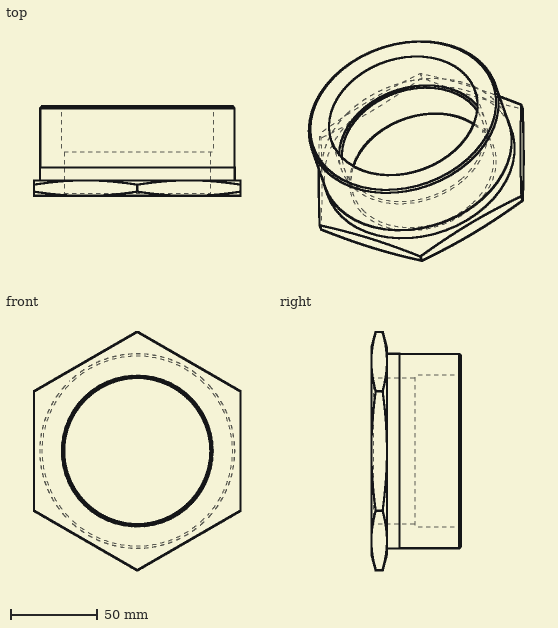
import cadquery as cq
import math

total_length = 52.0
corner_diameter = 138.5
across_flats = 120.0

head_thickness = 9.0
head_chamfer_angle = 15.0

neck_length = 7.3
neck_diameter = 113.3
body_diameter = 113.0
body_chamfer = 1.2

bore_diameter = 84.9
bore_chamfer = 1.2
rear_bore_diameter = 88.3
rear_bore_depth = 26.7

front_y = -total_length / 2
back_y = total_length / 2
head_back_y = front_y + head_thickness
neck_back_y = head_back_y + neck_length


def revolve_profile(points):
    """Turn a closed (radius, y) outline about the Y axis."""
    return cq.Workplane("XY").polyline(points).close().revolve(360, (0, 0, 0), (0, 1, 0))


def make_head():
    """Hexagon with corners on Z, its corners turned down and chamfered on both faces."""
    sharp_corner_diameter = across_flats / math.cos(math.radians(30))
    hexagon = (
        cq.Workplane("XZ", origin=(0, head_back_y, 0))
        .polygon(6, sharp_corner_diameter)
        .extrude(head_thickness)
        .rotate((0, 0, 0), (0, 1, 0), 30)
    )
    face_radius = across_flats / 2
    corner_radius = corner_diameter / 2
    drop = (corner_radius - face_radius) * math.tan(math.radians(head_chamfer_angle))
    envelope = revolve_profile([
        (0, front_y),
        (face_radius, front_y),
        (corner_radius, front_y + drop),
        (corner_radius, head_back_y - drop),
        (face_radius, head_back_y),
        (0, head_back_y),
    ])
    return hexagon.intersect(envelope)


def make_body():
    """Neck and slightly slimmer body with a chamfered far end."""
    neck_radius = neck_diameter / 2
    body_radius = body_diameter / 2
    return revolve_profile([
        (0, head_back_y),
        (neck_radius, head_back_y),
        (neck_radius, neck_back_y),
        (body_radius, neck_back_y),
        (body_radius, back_y - body_chamfer),
        (body_radius - body_chamfer, back_y),
        (0, back_y),
    ])


def make_bore():
    """Through bore, chamfered at the head face and stepped wider towards the far end."""
    bore_radius = bore_diameter / 2
    rear_radius = rear_bore_diameter / 2
    step_y = back_y - rear_bore_depth
    return revolve_profile([
        (0, front_y),
        (bore_radius + bore_chamfer, front_y),
        (bore_radius, front_y + bore_chamfer),
        (bore_radius, step_y),
        (rear_radius, step_y),
        (rear_radius, back_y),
        (0, back_y),
    ])


result = make_head().union(make_body()).cut(make_bore())